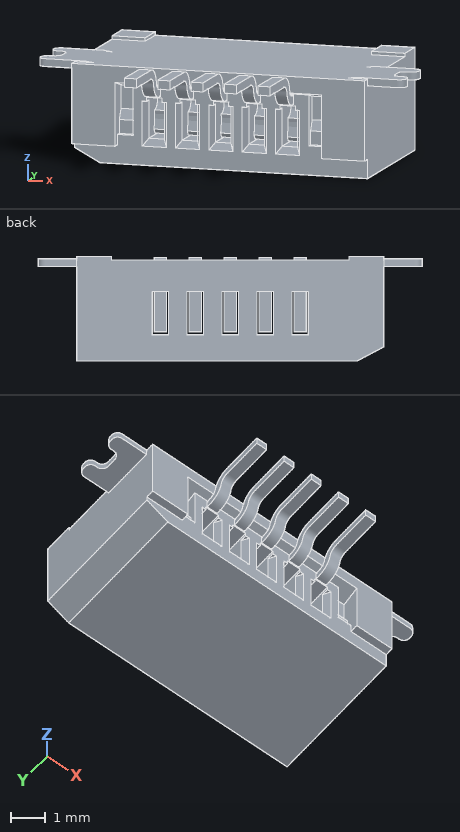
import cadquery as cq
import math


body_width = 8.8
body_depth = 4.8
body_top = 2.9
bevel_width = 0.77
bevel_height = 0.41
pad_width = 1.0
pad_depth = 0.97
pad_height = 0.1

recess_half_width = 3.1
recess_depth = 0.26
recess_bottom = 0.56
recess_top = 2.42
ceiling_drop = 0.08

pocket_inner_x = 2.64
pocket_floor = 0.86
pocket_ledge_low = 1.26
pocket_ledge_high = 1.56
pocket_low_y = 0.43
pocket_deep_y = 0.58
pocket_ceiling = recess_top - ceiling_drop * pocket_deep_y / recess_depth

contact_count = 5
contact_pitch = 1.0
channel_width = 0.46
channel_floor = 0.76
channel_top = 1.99
mouth_width = 0.73
mouth_top = 1.87
mouth_depth = 0.22

contact_width = 0.36
strip_thickness = 0.26
tail_reach = 2.0
tail_top = 2.97
tail_bend_y = -0.64
bend_drop = 0.66
bend_angle = math.radians(80)
nose_y = 0.88
stem_back_y = 1.43
throat_bottom = 1.52
nose_bottom = 0.84
nose_hollow = 0.02
nose_hollow_bottom = 1.4
nose_slope_top = 1.25
nose_slope_bottom = 0.97
nose_slope_run = 0.07
nose_undercut = 0.02

tab_tip_x = 5.5
tab_front_y = 0.29
tab_length_y = 1.73
tab_top = 2.94
tab_thickness = 0.23
tab_flat_inset = 0.33
tab_slope_run = 0.24
notch_depth = 0.51
notch_width = 0.74
notch_radius = 0.22
tip_radius = 0.21


def box(x0, x1, y0, y1, z0, z1):
    return cq.Workplane("XY").box(x1 - x0, y1 - y0, z1 - z0, centered=False).translate((x0, y0, z0))


def extrude_along_x(outline, x_center, width):
    """Extrude a closed YZ outline symmetrically about x_center."""
    return outline.extrude(width / 2, both=True).translate((x_center, 0, 0))


def housing_block():
    half = body_width / 2
    block = (
        cq.Workplane("XZ")
        .moveTo(-half + bevel_width, 0)
        .lineTo(half, 0)
        .lineTo(half, body_top)
        .lineTo(-half, body_top)
        .lineTo(-half, bevel_height)
        .close()
        .extrude(-body_depth)
    )
    for x0 in (-half, half - pad_width):
        block = block.union(
            box(x0, x0 + pad_width, body_depth - pad_depth, body_depth, body_top, body_top + pad_height)
        )
    return block


def lower_edge_setback():
    return box(-body_width / 2, body_width / 2, 0, recess_depth, 0, recess_bottom)


def front_recess():
    """Shallow front recess whose ceiling slopes down towards its back wall."""
    outline = (
        cq.Workplane("YZ")
        .moveTo(0, recess_bottom)
        .lineTo(recess_depth, recess_bottom)
        .lineTo(recess_depth, recess_top - ceiling_drop)
        .lineTo(0, recess_top)
        .close()
    )
    return extrude_along_x(outline, 0, 2 * recess_half_width)


def end_pocket(side):
    outline = (
        cq.Workplane("YZ")
        .moveTo(0, pocket_floor)
        .lineTo(pocket_low_y, pocket_floor)
        .lineTo(pocket_low_y, pocket_ledge_low)
        .lineTo(pocket_deep_y, pocket_ledge_high)
        .lineTo(pocket_deep_y, pocket_ceiling)
        .lineTo(0, recess_top)
        .close()
    )
    center = side * (recess_half_width + pocket_inner_x) / 2
    return extrude_along_x(outline, center, recess_half_width - pocket_inner_x)


def contact_channel(x):
    """Straight channel through the housing with a mouth flared to the sides and downwards."""
    channel = box(
        x - channel_width / 2, x + channel_width / 2, recess_depth, body_depth, channel_floor, channel_top
    )
    plan = (
        cq.Workplane("XY")
        .moveTo(-mouth_width / 2, recess_depth)
        .lineTo(mouth_width / 2, recess_depth)
        .lineTo(channel_width / 2, recess_depth + mouth_depth)
        .lineTo(-channel_width / 2, recess_depth + mouth_depth)
        .close()
        .extrude(mouth_top - recess_bottom)
        .translate((x, 0, recess_bottom))
    )
    sloped_floor = (
        cq.Workplane("YZ")
        .moveTo(recess_depth, recess_bottom)
        .lineTo(recess_depth + mouth_depth, recess_bottom)
        .lineTo(recess_depth + mouth_depth, channel_floor)
        .close()
    )
    mouth = plan.cut(extrude_along_x(sloped_floor, x, mouth_width))
    return channel.union(mouth)


def contact(x):
    """Flat contact: solder tail, S-bend, arm set in the housing and forked stem in the channel."""
    tail_bottom = tail_top - strip_thickness
    arm_top = tail_top - bend_drop
    arm_bottom = tail_bottom - bend_drop
    mid_radius = bend_drop / (2 * (1 - math.cos(bend_angle)))
    wide = mid_radius + strip_thickness / 2
    tight = mid_radius - strip_thickness / 2
    arm_bend_y = tail_bend_y + 2 * mid_radius * math.sin(bend_angle)

    def upper_bend(radius, angle):
        return (tail_bend_y + radius * math.sin(angle), tail_top - wide + radius * math.cos(angle))

    def lower_bend(radius, angle):
        return (arm_bend_y - radius * math.sin(angle), arm_bottom + wide - radius * math.cos(angle))

    half_angle = bend_angle / 2
    throat_radius = (arm_bottom - throat_bottom) / 2
    outline = (
        cq.Workplane("YZ")
        .moveTo(-tail_reach, tail_bottom)
        .lineTo(-tail_reach, tail_top)
        .lineTo(tail_bend_y, tail_top)
        .threePointArc(upper_bend(wide, half_angle), upper_bend(wide, bend_angle))
        .threePointArc(lower_bend(tight, half_angle), (arm_bend_y, arm_top))
        .lineTo(stem_back_y, arm_top)
        .lineTo(stem_back_y, nose_bottom)
        .lineTo(nose_y + nose_undercut, nose_bottom)
        .lineTo(nose_y - nose_slope_run, nose_slope_bottom)
        .lineTo(nose_y, nose_slope_top)
        .lineTo(nose_y, nose_hollow_bottom)
        .lineTo(nose_y - nose_hollow, throat_bottom)
        .lineTo(nose_y, throat_bottom)
        .threePointArc((nose_y + throat_radius, throat_bottom + throat_radius), (nose_y, arm_bottom))
        .lineTo(arm_bend_y, arm_bottom)
        .threePointArc(lower_bend(wide, half_angle), lower_bend(wide, bend_angle))
        .threePointArc(upper_bend(tight, half_angle), (tail_bend_y, tail_bottom))
        .close()
    )
    return extrude_along_x(outline, x, contact_width)


def hold_down_tab():
    """Tab on the +X side, with a notched tip and an inner edge that slopes into the housing top."""
    flat_end_x = body_width / 2 - tab_flat_inset
    tab_center_y = tab_front_y + tab_length_y / 2
    tab_bottom = tab_top - tab_thickness
    plate = (
        cq.Workplane("XZ")
        .moveTo(tab_tip_x, tab_bottom)
        .lineTo(tab_tip_x, tab_top)
        .lineTo(flat_end_x, tab_top)
        .lineTo(flat_end_x - tab_slope_run, body_top)
        .lineTo(flat_end_x - tab_slope_run, tab_bottom)
        .close()
        .extrude(-tab_length_y)
        .translate((0, tab_front_y, 0))
    )
    notch = box(
        tab_tip_x - notch_depth, tab_tip_x,
        tab_center_y - notch_width / 2, tab_center_y + notch_width / 2,
        tab_bottom, tab_top,
    )
    notch = notch.edges("|Z and <X").fillet(notch_radius)
    return plate.cut(notch).edges("|Z and >X").fillet(tip_radius)


contact_positions = [(i - (contact_count - 1) / 2) * contact_pitch for i in range(contact_count)]

result = housing_block().cut(lower_edge_setback()).cut(front_recess())
for pocket_side in (-1, 1):
    result = result.cut(end_pocket(pocket_side))
for position in contact_positions:
    result = result.cut(contact_channel(position))
for position in contact_positions:
    result = result.union(contact(position))
right_tab = hold_down_tab()
result = result.union(right_tab).union(right_tab.mirror("YZ"))